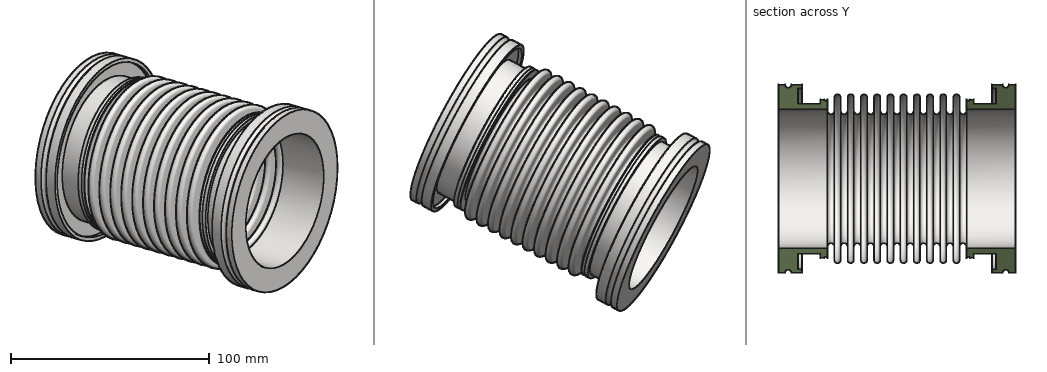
import cadquery as cq

overall_length = 119.5
half_length = overall_length / 2
bore_diameter = 70.0

flange_diameter = 95.0
flange_thickness = 12.0
neck_diameter = 76.0
recess_diameter = 91.0
recess_depth = 2.0
neck_end = 21.0
collar_diameter = 80.0
collar_width = 3.75

seal_groove_offset = 5.0
seal_groove_width = 3.0
seal_groove_depth = 1.5
weld_groove_offset = 2.8
weld_groove_width = 1.5
weld_groove_depth = 0.5

crest_count = 10
wall_thickness = 0.15
crest_diameter = 85.3
root_center_diameter = 68.4

bellows_half_length = half_length - neck_end - collar_width
root_count = crest_count + 1
bend_diameter = (2 * bellows_half_length - wall_thickness) / (root_count + crest_count)
bend_radius = bend_diameter / 2
outer_bend_radius = bend_radius + wall_thickness / 2
inner_bend_radius = bend_radius - wall_thickness / 2
crest_center_radius = crest_diameter / 2 - outer_bend_radius
root_center_radius = root_center_diameter / 2


def groove_arc(profile, center, width, rim_radius, depth):
    """Cross a groove from its low-X edge to its high-X edge with one arc."""
    profile = profile.lineTo(center - width / 2, rim_radius)
    return profile.threePointArc((center, rim_radius - depth), (center + width / 2, rim_radius))


def make_flange():
    """Flange at the -X end, with its neck and weld collar turned in one piece."""
    outer_face = -half_length
    inner_face = outer_face + flange_thickness
    collar_start = outer_face + neck_end
    collar_end = collar_start + collar_width
    flange_radius = flange_diameter / 2
    collar_radius = collar_diameter / 2

    profile = cq.Workplane("XY").moveTo(outer_face, bore_diameter / 2)
    profile = profile.lineTo(outer_face, flange_radius)
    profile = groove_arc(
        profile, outer_face + seal_groove_offset, seal_groove_width, flange_radius, seal_groove_depth
    )
    profile = profile.lineTo(inner_face, flange_radius)
    profile = profile.lineTo(inner_face, recess_diameter / 2)
    profile = profile.lineTo(inner_face - recess_depth, recess_diameter / 2)
    profile = profile.lineTo(inner_face - recess_depth, neck_diameter / 2)
    profile = profile.lineTo(collar_start, neck_diameter / 2)
    profile = profile.lineTo(collar_start, collar_radius)
    profile = groove_arc(
        profile, collar_start + weld_groove_offset, weld_groove_width, collar_radius, weld_groove_depth
    )
    profile = profile.lineTo(collar_end, collar_radius)
    profile = profile.lineTo(collar_end, bore_diameter / 2)
    return profile.close().revolve(360, (0, 0, 0), (1, 0, 0))


def bend(profile, center, is_crest, radius, direction):
    """Half circle over a crest or under a root, entered from the side opposite to direction."""
    center_radius = crest_center_radius if is_crest else root_center_radius
    tip = center_radius + radius if is_crest else center_radius - radius
    profile = profile.lineTo(center - direction * radius, center_radius)
    return profile.threePointArc((center, tip), (center + direction * radius, center_radius))


def make_bellows():
    """Thin corrugated tube whose end walls are flat rings as wide as the collars."""
    end_wall_radius = collar_diameter / 2
    bend_centers = [
        (i - crest_count) * bend_diameter for i in range(root_count + crest_count)
    ]

    profile = cq.Workplane("XY").moveTo(-bellows_half_length + wall_thickness, end_wall_radius)
    for i, center in enumerate(bend_centers):
        is_crest = i % 2 == 1
        radius = outer_bend_radius if is_crest else inner_bend_radius
        profile = bend(profile, center, is_crest, radius, 1)

    profile = profile.lineTo(bellows_half_length - wall_thickness, end_wall_radius)
    profile = profile.lineTo(bellows_half_length, end_wall_radius)
    for i, center in reversed(list(enumerate(bend_centers))):
        is_crest = i % 2 == 1
        radius = inner_bend_radius if is_crest else outer_bend_radius
        profile = bend(profile, center, is_crest, radius, -1)
    profile = profile.lineTo(-bellows_half_length, end_wall_radius)
    return profile.close().revolve(360, (0, 0, 0), (1, 0, 0))


left_flange = make_flange()
right_flange = left_flange.mirror("YZ")
bellows = make_bellows()

result = cq.Compound.makeCompound([left_flange.val(), right_flange.val(), bellows.val()])